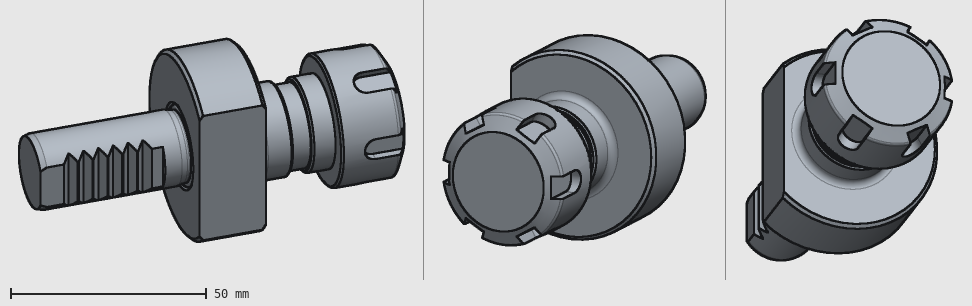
import cadquery as cq
import math

total_length = 96.5
overcut = 1.0

shank_radius = 20.0 / 2
shank_chamfer_length = 1.7
shank_chamfer_depth = 0.5
undercut_radius = 19.1 / 2
undercut_ramp_start = 39.4
undercut_ramp_end = 37.5
undercut_blend = 2.4

shank_flat_x = 8.0
shank_flat_length = 33.0
tooth_count = 6
first_tooth_y = 8.2
last_tooth_y = 28.2
tooth_pitch = (last_tooth_y - first_tooth_y) / (tooth_count - 1)
tooth_depth = 1.8

flange_start = 40.1
flange_end = 58.0
flange_radius = 50.0 / 2
flange_chamfer = 1.0
flange_flat_x = 16.5

seal_section_radius = 1.7 / 2
seal_mean_radius = 9.9
recess_radius = seal_mean_radius + seal_section_radius
recess_depth = 2 * seal_section_radius
recess_chamfer = 0.7

neck_radius = 25.0 / 2
neck_fillet = 1.9
neck_chamfer = 0.6
neck_groove_radius = 22.5 / 2
neck_groove_start = 66.8
neck_groove_end = 71.8

nut_start = 78.1
nut_radius = 35.0 / 2
nut_back_chamfer = 0.6
nut_front_radius = 13.1
nut_cone_angle = 30.0
nut_edge_fillet = 1.0
slot_count = 6
slot_width = 6.0
slot_end_y = 84.4
slot_floor_radius = 14.7


def revolve_outline(outline):
    """Close a half outline drawn in X (radius) and Y, and turn it about the Y axis."""
    return outline.close().revolve(360, (0, 0, 0), (0, 1, 0))


def turn(points):
    """Revolve a polygon of (radius, y) points about the Y axis."""
    return revolve_outline(cq.Workplane("XY").polyline(points))


def block(x_min, y_min, y_max):
    """Cutting block that removes everything beyond x_min between two Y positions."""
    size = 2 * flange_radius
    return (
        cq.Workplane("XY")
        .box(size, y_max - y_min, size, centered=(False, False, True))
        .translate((x_min, y_min, 0))
    )


def make_shank():
    shank = turn([
        (0, 0),
        (shank_radius - shank_chamfer_depth, 0),
        (shank_radius, shank_chamfer_length),
        (shank_radius, undercut_ramp_end),
        (undercut_radius, undercut_ramp_start),
        (undercut_radius, flange_end),
        (0, flange_end),
    ])
    undercut_corner = cq.selectors.BoxSelector(
        (-shank_radius, undercut_ramp_start - overcut, -shank_radius),
        (shank_radius, undercut_ramp_start + overcut, shank_radius),
        boundingbox=True,
    )
    shank = shank.edges(undercut_corner).fillet(undercut_blend)
    shank = shank.cut(block(shank_flat_x, -overcut, shank_flat_length))
    reach = tooth_depth + overcut
    valley_x = shank_flat_x - tooth_depth
    for index in range(tooth_count):
        valley_y = first_tooth_y + index * tooth_pitch
        notch = (
            cq.Workplane("XY")
            .polyline([
                (valley_x, valley_y),
                (valley_x + reach, valley_y - reach),
                (valley_x + reach, valley_y + reach),
            ])
            .close()
            .extrude(shank_radius, both=True)
        )
        shank = shank.cut(notch)
    return shank


def make_flange():
    flange = turn([
        (0, flange_start),
        (flange_radius - flange_chamfer, flange_start),
        (flange_radius, flange_start + flange_chamfer),
        (flange_radius, flange_end - flange_chamfer),
        (flange_radius - flange_chamfer, flange_end),
        (0, flange_end),
    ])
    recess = turn([
        (0, flange_start - overcut),
        (recess_radius + recess_chamfer, flange_start - overcut),
        (recess_radius + recess_chamfer, flange_start),
        (recess_radius, flange_start + recess_chamfer),
        (recess_radius, flange_start + recess_depth),
        (0, flange_start + recess_depth),
    ])
    flange = flange.cut(recess)
    return flange.cut(block(flange_flat_x, flange_start - overcut, flange_end + overcut))


def make_seal_ring():
    return (
        cq.Workplane("XY")
        .center(seal_mean_radius, flange_start + seal_section_radius)
        .circle(seal_section_radius)
        .revolve(360, (-seal_mean_radius, 0, 0), (-seal_mean_radius, 1, 0))
    )


def make_neck():
    fillet_diagonal = neck_fillet * (1 - math.sqrt(0.5))
    shoulder_radius = neck_radius - neck_chamfer
    outline = (
        cq.Workplane("XY")
        .moveTo(0, flange_end - overcut)
        .lineTo(neck_radius + neck_fillet, flange_end - overcut)
        .lineTo(neck_radius + neck_fillet, flange_end)
        .threePointArc(
            (neck_radius + fillet_diagonal, flange_end + fillet_diagonal),
            (neck_radius, flange_end + neck_fillet),
        )
        .lineTo(neck_radius, neck_groove_start - neck_chamfer)
        .lineTo(shoulder_radius, neck_groove_start)
        .lineTo(neck_groove_radius, neck_groove_start)
        .lineTo(neck_groove_radius, neck_groove_end)
        .lineTo(shoulder_radius, neck_groove_end)
        .lineTo(neck_radius, neck_groove_end + neck_chamfer)
        .lineTo(neck_radius, nut_start + overcut)
        .lineTo(0, nut_start + overcut)
    )
    return revolve_outline(outline)


def make_nut():
    cone_length = (nut_radius - nut_front_radius) * math.tan(math.radians(nut_cone_angle))
    cone_edge_y = total_length - cone_length
    nut = turn([
        (0, nut_start),
        (nut_radius - nut_back_chamfer, nut_start),
        (nut_radius, nut_start + nut_back_chamfer),
        (nut_radius, cone_edge_y),
        (nut_front_radius, total_length),
        (0, total_length),
    ])
    nut_edge = cq.selectors.BoxSelector(
        (-nut_radius - overcut, cone_edge_y - overcut / 2, -nut_radius - overcut),
        (nut_radius + overcut, cone_edge_y + overcut / 2, nut_radius + overcut),
        boundingbox=True,
    )
    nut = nut.edges(nut_edge).fillet(nut_edge_fillet)

    slot_length = total_length + slot_width - slot_end_y
    slot = (
        cq.Workplane("YZ", origin=(slot_floor_radius, slot_end_y + slot_length / 2, 0))
        .slot2D(slot_length, slot_width)
        .extrude(nut_radius)
    )
    for index in range(slot_count):
        nut = nut.cut(slot.rotate((0, 0, 0), (0, 1, 0), index * 360 / slot_count))
    return nut


result = make_flange().union(make_shank()).union(make_seal_ring()).union(make_neck()).union(make_nut())